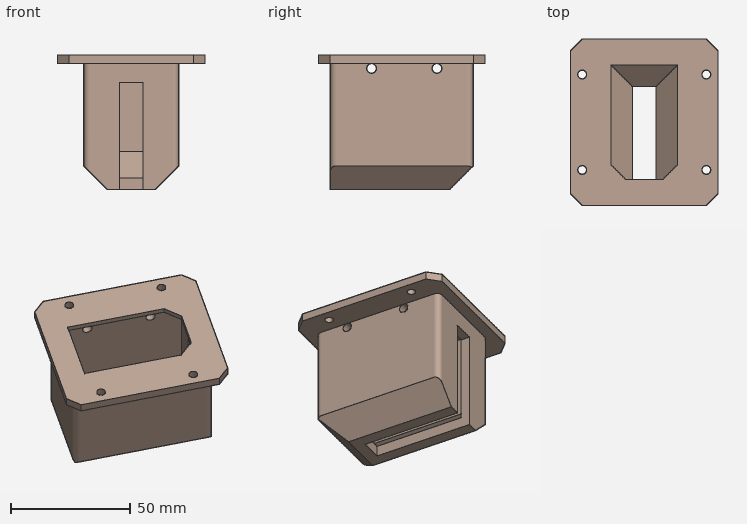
import cadquery as cq

flange_x = 62.0
flange_y = 70.0
flange_thickness = 3.7
flange_corner = 5.0
screw_diameter = 3.6
screw_spacing_x = 52.1
screw_spacing_y = 40.05

total_height = 56.6
housing_x = 40.05
housing_y = 60.05
housing_edge_radius = 2.5
bottom_bevel = 10.0

wall = 4.0
cavity_x = housing_x - 2 * wall
cavity_y = housing_y - 2 * wall
mouth_x = 27.7
mouth_y = 47.9
mouth_corner = 6.0
lip_thickness = 2.1

slot_width = 9.8
slot_top = -11.6
floor_thickness = 5.0

cross_diameter = 4.0
cross_z = -flange_thickness - cross_diameter / 2
cross_hole_places = (-12.7, 14.8)

floor_rise = (cavity_x - slot_width) / 2
slot_end_y = cavity_y / 2 - floor_rise
floor_z = floor_thickness - total_height
slope_top_z = floor_z + floor_rise


def make_flange():
    plate = cq.Workplane("XY").box(flange_x, flange_y, flange_thickness, centered=(True, True, False))
    plate = plate.translate((0, 0, -flange_thickness)).edges("|Z").chamfer(flange_corner)
    return (
        plate.faces(">Z").workplane(origin=(0, 0, 0))
        .rect(screw_spacing_x, screw_spacing_y, forConstruction=True)
        .vertices()
        .hole(screw_diameter)
    )


def bevel_cutter(direction):
    """Triangular prism that bevels the bottom edge on the +X side (1) or -X side (-1)."""
    edge_x = direction * housing_x / 2
    return (
        cq.Workplane("XZ")
        .moveTo(edge_x, -total_height)
        .lineTo(edge_x, bottom_bevel - total_height)
        .lineTo(edge_x - direction * bottom_bevel, -total_height)
        .close()
        .extrude(housing_y / 2, both=True)
    )


def make_housing():
    body = cq.Workplane("XY").rect(housing_x, housing_y).extrude(-total_height)
    body = body.edges("|Z").fillet(housing_edge_radius)
    for direction in (-1, 1):
        body = body.cut(bevel_cutter(direction))
    back_bevel = (
        cq.Workplane("YZ")
        .moveTo(housing_y / 2, -total_height)
        .lineTo(housing_y / 2, bottom_bevel - total_height)
        .lineTo(housing_y / 2 - bottom_bevel, -total_height)
        .close()
        .extrude(housing_x / 2, both=True)
    )
    return body.cut(back_bevel)


def make_cavity():
    chamber_height = -lip_thickness - slope_top_z
    chamber = (
        cq.Workplane("XY", origin=(0, 0, slope_top_z))
        .rect(cavity_x, cavity_y)
        .extrude(chamber_height)
    )
    side_trough = (
        cq.Workplane("XZ", origin=(0, cavity_y / 2, 0))
        .moveTo(-slot_width / 2, floor_z)
        .lineTo(slot_width / 2, floor_z)
        .lineTo(cavity_x / 2, slope_top_z)
        .lineTo(-cavity_x / 2, slope_top_z)
        .close()
        .extrude(cavity_y)
    )
    end_slope = (
        cq.Workplane("YZ")
        .moveTo(-cavity_y / 2, floor_z)
        .lineTo(slot_end_y, floor_z)
        .lineTo(cavity_y / 2, slope_top_z)
        .lineTo(-cavity_y / 2, slope_top_z)
        .close()
        .extrude(cavity_x / 2, both=True)
    )
    return chamber.union(side_trough.intersect(end_slope))


def make_mouth():
    opening = cq.Workplane("XY").rect(mouth_x, mouth_y).extrude(-lip_thickness)
    return opening.edges("|Z and <Y").chamfer(mouth_corner)


def make_slot():
    slot_length = slot_end_y + housing_y / 2
    return cq.Workplane("XY").box(
        slot_width, slot_length, slot_top + total_height, centered=(True, False, False)
    ).translate((0, -housing_y / 2, -total_height))


def make_cross_holes():
    places = [(y, cross_z) for y in cross_hole_places]
    return (
        cq.Workplane("YZ")
        .pushPoints(places)
        .circle(cross_diameter / 2)
        .extrude(housing_x / 2, both=True)
    )


result = make_flange().union(make_housing())
for cutter in (make_cavity(), make_mouth(), make_slot(), make_cross_holes()):
    result = result.cut(cutter)